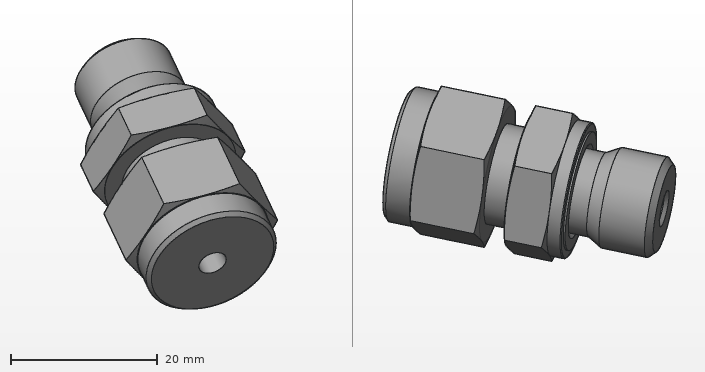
import cadquery as cq
import math

total_length = 37.3
across_flats = 19.0
bore_radius = 1.98
hex_chamfer_angle = 15.0

bevel_radius = 9.47
hex_rim_length = 0.07

stud_radius = 7.0
stud_chamfer = 0.95
stud_end = 7.35
neck_radius = 5.9
neck_start = 9.35
seal_face_start = 11.75
seal_radius = 8.28
seal_recess_radius = 6.6
flange_start = 12.0
flange_radius = 9.47
flange_chamfer = 0.15
body_hex_start = 14.0
body_hex_end = 20.05
spigot_radius = stud_radius
bore_mouth_radius = 2.55

nut_start = 23.5
nut_hex_end = 33.35
collar_radius = 9.4
collar_chamfer = 0.55


def cylinder(radius, start, end):
    """Round bar about the X axis between two X positions."""
    return cq.Workplane("YZ", origin=(start, 0, 0)).circle(radius).extrude(end - start)


def bevelled_hexagon(start, end):
    """Hexagon along X with flats facing +Z and -Z, corners bevelled at both ends and a rim at +X."""
    corner_radius = across_flats / math.sqrt(3)
    prism = (
        cq.Workplane("YZ", origin=(start, 0, 0))
        .polygon(6, 2 * corner_radius)
        .extrude(end - start)
    )
    bevel = (corner_radius - bevel_radius) * math.tan(math.radians(hex_chamfer_angle))
    rim_start = end - hex_rim_length
    envelope = (
        cq.Workplane("XY")
        .moveTo(start, 0)
        .lineTo(start, bevel_radius)
        .lineTo(start + bevel, corner_radius)
        .lineTo(rim_start - bevel, corner_radius)
        .lineTo(rim_start, bevel_radius)
        .lineTo(end, bevel_radius)
        .lineTo(end, 0)
        .close()
        .revolve(360, (0, 0, 0), (1, 0, 0))
    )
    return prism.intersect(envelope)


def turned_stud():
    """Stud, neck, recessed sealing face and flange as one turned profile."""
    recess_bottom = seal_face_start + seal_recess_radius - neck_radius
    return (
        cq.Workplane("XY")
        .moveTo(0, 0)
        .lineTo(0, stud_radius - stud_chamfer)
        .lineTo(stud_chamfer, stud_radius)
        .lineTo(stud_end, stud_radius)
        .lineTo(neck_start, neck_radius)
        .lineTo(recess_bottom, neck_radius)
        .lineTo(seal_face_start, seal_recess_radius)
        .lineTo(seal_face_start, seal_radius)
        .lineTo(flange_start, seal_radius)
        .lineTo(flange_start, flange_radius - flange_chamfer)
        .lineTo(flange_start + flange_chamfer, flange_radius)
        .lineTo(body_hex_start, flange_radius)
        .lineTo(body_hex_start, 0)
        .close()
        .revolve(360, (0, 0, 0), (1, 0, 0))
    )


def bore_mouth():
    """45 degree countersink at the stud end of the bore."""
    depth = bore_mouth_radius - bore_radius
    return (
        cq.Workplane("YZ")
        .circle(bore_mouth_radius)
        .workplane(offset=depth)
        .circle(bore_radius)
        .loft()
    )


def make_fitting():
    spigot = cylinder(spigot_radius, body_hex_end, nut_hex_end)
    outside = turned_stud().union(bevelled_hexagon(body_hex_start, body_hex_end)).union(spigot)
    return outside.cut(cylinder(bore_radius, 0, nut_hex_end)).cut(bore_mouth())


def make_nut():
    collar = cylinder(collar_radius, nut_hex_end, total_length).faces(">X").chamfer(collar_chamfer)
    outside = bevelled_hexagon(nut_start, nut_hex_end).union(collar)
    spigot_socket = cylinder(spigot_radius, nut_start, nut_hex_end)
    return outside.cut(spigot_socket).cut(cylinder(bore_radius, nut_hex_end, total_length))


fitting = make_fitting()
nut = make_nut()
result = cq.Compound.makeCompound([fitting.val(), nut.val()])